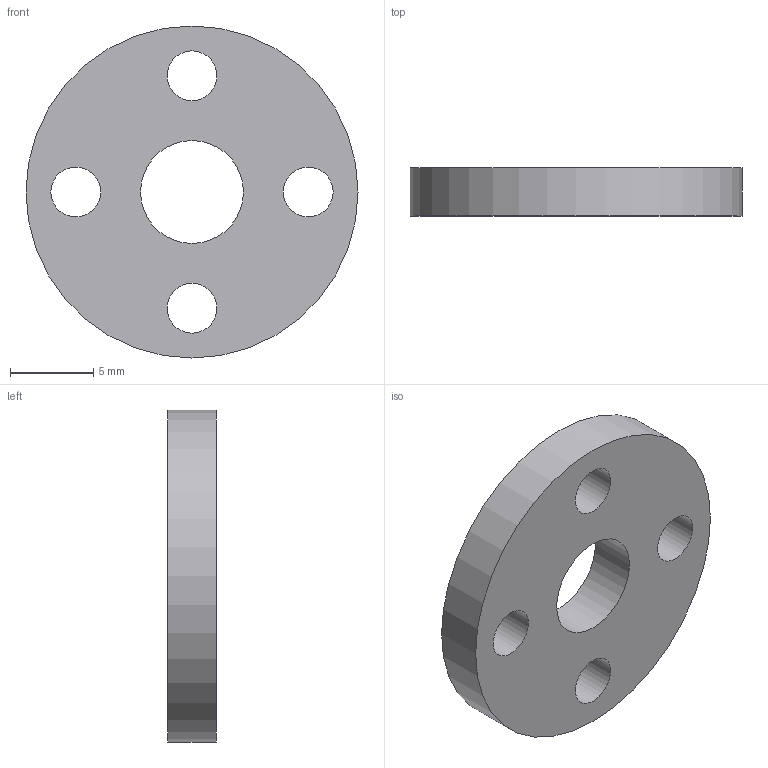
import cadquery as cq

disc_diameter = 20.0
thickness = 2.9
bore_diameter = 6.2
bolt_hole_diameter = 3.0
bolt_circle_diameter = 14.0
bolt_hole_count = 4


def make_disc():
    """Flat round disc with its axis along Y, centred on the origin."""
    back_face = cq.Workplane("XZ", origin=(0, thickness / 2, 0))
    return back_face.circle(disc_diameter / 2).extrude(thickness)


def cut_bore(body):
    """Central through bore."""
    return body.faces("<Y").workplane(origin=(0, 0, 0)).hole(bore_diameter)


def cut_bolt_holes(body):
    """Through holes evenly spaced on the bolt circle, starting on the X axis."""
    return (
        body.faces("<Y")
        .workplane(origin=(0, 0, 0))
        .polarArray(bolt_circle_diameter / 2, 0, 360, bolt_hole_count)
        .hole(bolt_hole_diameter)
    )


result = cut_bolt_holes(cut_bore(make_disc()))